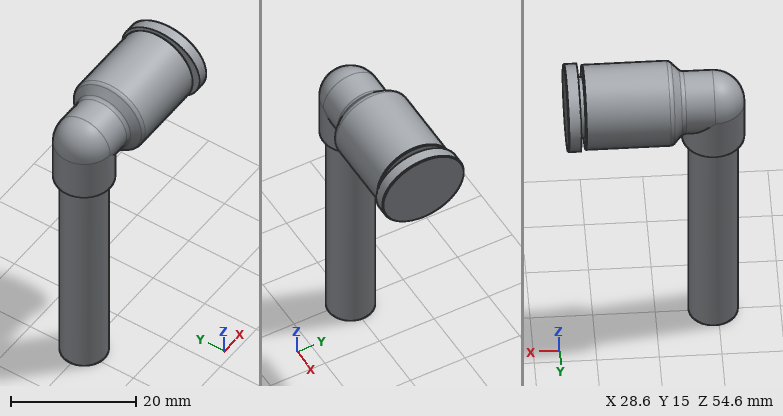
import cadquery as cq

total_height = 54.6
total_length = 28.6

elbow_radius = 5.0
collar_depth = 7.7

stem_radius = 4.0
stem_end_chamfer = 0.35

body_radius = 6.8
shoulder_start = 5.0
shoulder_length = body_radius - elbow_radius
shoulder_blend = 1.0
body_end = 20.75
body_end_chamfer = 0.15

sleeve_radius = 4.85
button_width = 15.0
button_height = 13.1
button_thickness = 2.1
button_edge_chamfer = 0.15

button_end = total_length - elbow_radius
button_start = button_end - button_thickness
stem_length = total_height - body_radius


def make_elbow():
    ball = cq.Workplane("XY").sphere(elbow_radius)
    collar = cq.Workplane("XY").circle(elbow_radius).extrude(-collar_depth)
    return ball.union(collar)


def make_stem():
    stem = cq.Workplane("XY").circle(stem_radius).extrude(-stem_length)
    return stem.faces("<Z").chamfer(stem_end_chamfer)


def make_body():
    shoulder_end = shoulder_start + shoulder_length
    half_profile = (
        cq.Workplane("XZ")
        .moveTo(0, 0)
        .lineTo(0, elbow_radius)
        .lineTo(shoulder_start, elbow_radius)
        .lineTo(shoulder_end, body_radius)
        .lineTo(body_end, body_radius)
        .lineTo(body_end, 0)
        .close()
    )
    body = half_profile.revolve(360, (0, 0, 0), (1, 0, 0))
    shoulder_rims = cq.selectors.BoxSelector(
        (shoulder_start / 2, -total_length, -total_length),
        (body_end - shoulder_length, total_length, total_length),
    )
    body = body.edges("%CIRCLE").edges(shoulder_rims).fillet(shoulder_blend)
    return body.faces(">X").chamfer(body_end_chamfer)


def make_button():
    sleeve = cq.Workplane("YZ").circle(sleeve_radius).extrude(button_start)
    button = (
        cq.Workplane("YZ")
        .workplane(offset=button_start)
        .ellipse(button_width / 2, button_height / 2)
        .extrude(button_thickness)
        .faces(">X")
        .chamfer(button_edge_chamfer)
    )
    return sleeve.union(button)


result = make_elbow().union(make_body()).union(make_stem()).union(make_button())